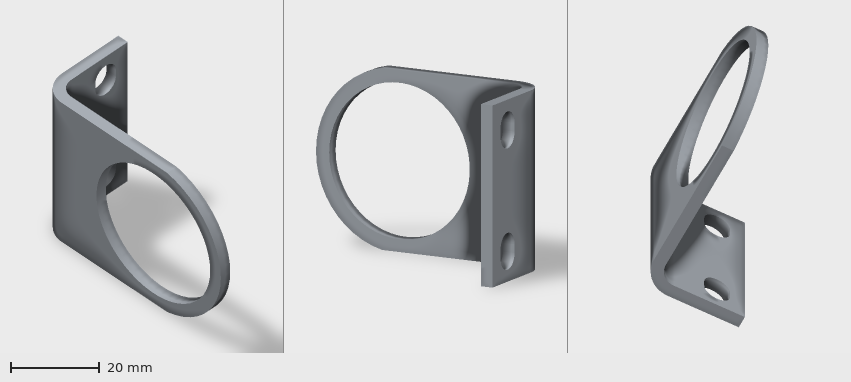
import cadquery as cq

length = 57.5
depth = 25.0
height = 42.0

thickness = 3.0
bend_outer_radius = 7.0
bend_inner_radius = bend_outer_radius - thickness

hole_diameter = 36.1
ring_radius = 21.45
ring_center_x = length - ring_radius

slot_width = 6.5
slot_length = 8.5
slot_spacing = 28.0
slot_edge_distance = 7.0


def make_angle():
    """L-shaped sheet with a rounded bend, centered on Z = 0."""
    angle = (
        cq.Workplane("XY")
        .polyline([
            (0, 0),
            (length, 0),
            (length, thickness),
            (thickness, thickness),
            (thickness, depth),
            (0, depth),
        ])
        .close()
        .extrude(height / 2, both=True)
    )
    outer_corner = cq.selectors.NearestToPointSelector((0, 0, 0))
    angle = angle.edges("|Z").edges(outer_corner).fillet(bend_outer_radius)
    inner_corner = cq.selectors.NearestToPointSelector((thickness, thickness, 0))
    return angle.edges("|Z").edges(inner_corner).fillet(bend_inner_radius)


def make_ring_outline():
    """Straight strip ending in the ring's outer arc, spanning the full depth."""
    strip = cq.Workplane("XY").box(
        ring_center_x, depth, height, centered=(False, False, True)
    )
    disc = (
        cq.Workplane("XZ")
        .center(ring_center_x, 0)
        .circle(ring_radius)
        .extrude(-depth)
    )
    return strip.union(disc)


def make_ring_hole():
    """Round hole through the long leg."""
    return (
        cq.Workplane("XZ")
        .center(ring_center_x, 0)
        .circle(hole_diameter / 2)
        .extrude(-thickness)
    )


def make_slots():
    """Two upright slots through the short leg."""
    slot_y = depth - slot_edge_distance
    return (
        cq.Workplane("YZ")
        .pushPoints([(slot_y, -slot_spacing / 2), (slot_y, slot_spacing / 2)])
        .slot2D(slot_length, slot_width, 90)
        .extrude(thickness)
    )


result = make_angle().intersect(make_ring_outline()).cut(make_ring_hole()).cut(make_slots())